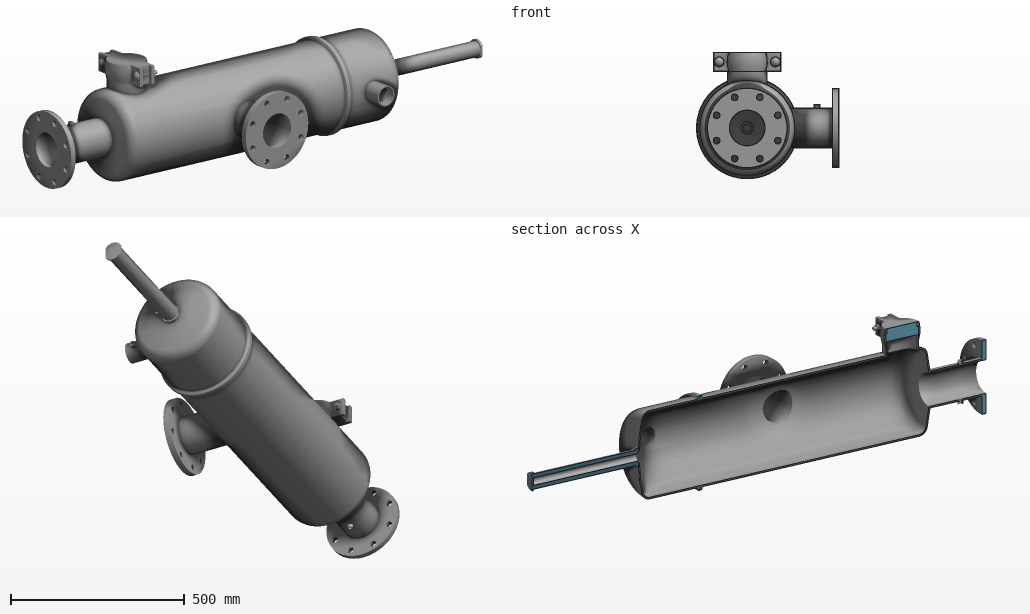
import cadquery as cq
import math

total_length = 1573.54
top_height = 217.45
branch_reach = 263.6

shell_radius = 273.0 / 2
wall = 6.0
shell_start = 232.5
shell_end = 1163.5
crown_radius = 500.0
knuckle_radius = 30.0

joint_y = 991.0
joint_rim_radius = 409.57 - branch_reach
joint_rim_half_width = 6.0
joint_root_half_width = 10.0

pipe_diameter = 114.3
pipe_bore = 102.3
flange_diameter = 228.6
bolt_circle = 190.5
bolt_hole = 19.0
bolt_count = 8
inlet_flange_thickness = 16.0
branch_flange_thickness = 18.5
branch_y = 634.5

socket_diameter = 17.0
socket_bore = 9.0
socket_height = 10.0
inlet_socket_y = 88.0
branch_socket_x = 200.0

drain_diameter = 60.3
drain_bore = 54.7
drain_y = 1085.0
drain_reach = 198.0
drain_socket_x = 168.0
drain_socket_height = 13.0

tube_diameter = 48.3
tube_bore = 22.0
drive_port = 36.0
plate_diameter = 57.0
tip_thickness = 8.0
foot_thickness = 10.0
tube_start = 1205.0
pin_diameter = 5.0
pin_y = 1234.0
pin_reach = 38.0

closure_y = 291.0
coupling_height = 55.0
coupling_end_diameter = 117.0
coupling_mid_diameter = 126.5
cap_face_diameter = 106.0
lip_height = 14.0
ear_reach = 97.0
pad_reach = 86.0
ear_half_depth = 26.0
pad_half_depth = 15.0
coupling_bottom = top_height - coupling_height
coupling_mid = top_height - coupling_height / 2
neck_top = coupling_bottom + lip_height

bolt_x = 81.0
shank_diameter = 12.0
head_diameter = 28.0
head_height = 9.0
nut_across_corners = 22.0
nut_height = 9.5
thread_end = 9.5


def rod(start, direction, length, diameter):
    """Solid cylinder from a start point along a direction."""
    return cq.Workplane(
        cq.Solid.makeCylinder(diameter / 2, length, cq.Vector(*start), cq.Vector(*direction))
    )


def head_sizes(outer_radius, crown, knuckle):
    """Depth of a dished head, then radius and depth of the crown-to-knuckle tangency."""
    knuckle_center = outer_radius - knuckle
    crown_offset = math.sqrt((crown - knuckle) ** 2 - knuckle_center ** 2)
    stretch = crown / (crown - knuckle)
    return crown - crown_offset, knuckle_center * stretch, crown_offset * (stretch - 1)


def domed_blank(inset, tangent_y, joint_end):
    """Solid drum from the joint to a dished head, offset inwards by the inset."""
    radius = shell_radius - inset
    crown = crown_radius - inset
    knuckle = knuckle_radius - inset
    outward = 1 if tangent_y > joint_end else -1
    depth, meet_radius, meet_depth = head_sizes(radius, crown, knuckle)
    knuckle_center = radius - knuckle
    meet_angle = math.atan2(meet_depth, meet_radius - knuckle_center)
    knuckle_mid = (
        knuckle_center + knuckle * math.cos(meet_angle / 2),
        tangent_y + outward * knuckle * math.sin(meet_angle / 2),
    )
    crown_angle = math.asin(meet_radius / crown) / 2
    crown_mid = (
        crown * math.sin(crown_angle),
        tangent_y + outward * (depth - crown * (1 - math.cos(crown_angle))),
    )
    return (
        cq.Workplane("XY")
        .moveTo(0, joint_end)
        .lineTo(radius, joint_end)
        .lineTo(radius, tangent_y)
        .threePointArc(knuckle_mid, (meet_radius, tangent_y + outward * meet_depth))
        .threePointArc(crown_mid, (0, tangent_y + outward * depth))
        .close()
        .revolve(360, (0, 0, 0), (0, 1, 0))
    )


def joint_flange(side):
    """Half of the bevelled rim at the body joint; side is -1 for vessel, +1 for cover."""
    return (
        cq.Workplane("XY")
        .moveTo(0, joint_y)
        .lineTo(joint_rim_radius, joint_y)
        .lineTo(joint_rim_radius, joint_y + side * joint_rim_half_width)
        .lineTo(shell_radius, joint_y + side * joint_root_half_width)
        .lineTo(0, joint_y + side * joint_root_half_width)
        .close()
        .revolve(360, (0, 0, 0), (0, 1, 0))
    )


def pipe_flange(face, inward, thickness):
    """Drilled flange disc; its bolt holes straddle the centre lines."""
    disc = rod(face, inward, thickness, flange_diameter)
    plane = cq.Plane(origin=face, xDir=(0, 0, 1), normal=inward)
    holes = (
        cq.Workplane(plane)
        .polarArray(bolt_circle / 2, 180 / bolt_count, 360, bolt_count)
        .circle(bolt_hole / 2)
        .extrude(thickness)
    )
    return disc.cut(holes)


def make_vessel():
    body = domed_blank(0, shell_start, joint_y).union(joint_flange(-1))
    body = body.union(rod((0, 0, 0), (0, 1, 0), shell_start, pipe_diameter))
    body = body.union(pipe_flange((0, 0, 0), (0, 1, 0), inlet_flange_thickness))
    branch_face = (branch_reach, branch_y, 0)
    body = body.union(rod((0, branch_y, 0), (1, 0, 0), branch_reach, pipe_diameter))
    body = body.union(pipe_flange(branch_face, (-1, 0, 0), branch_flange_thickness))
    body = body.union(rod((0, closure_y, 0), (0, 0, 1), neck_top, pipe_diameter))

    socket_length = pipe_diameter / 2 + socket_height
    sockets = [
        ((0, inlet_socket_y, 0), (0, 0, 1)),
        ((0, inlet_socket_y, 0), (0, 0, -1)),
        ((branch_socket_x, branch_y, 0), (0, 0, 1)),
    ]
    for start, direction in sockets:
        body = body.union(rod(start, direction, socket_length, socket_diameter))

    body = body.cut(domed_blank(wall, shell_start, joint_y))
    body = body.cut(rod((0, 0, 0), (0, 1, 0), shell_start, pipe_bore))
    body = body.cut(rod((0, branch_y, 0), (1, 0, 0), branch_reach, pipe_bore))
    body = body.cut(rod((0, closure_y, 0), (0, 0, 1), neck_top, pipe_bore))
    for start, direction in sockets:
        body = body.cut(rod(start, direction, socket_length, socket_bore))
    return body


def end_plate(start_y, thickness):
    """Round plate with two flats as wide as the drive tube."""
    disc = rod((0, start_y, 0), (0, 1, 0), thickness, plate_diameter)
    trim = cq.Workplane("XY").box(tube_diameter, thickness, plate_diameter)
    return disc.intersect(trim.translate((0, start_y + thickness / 2, 0)))


def make_cover():
    body = domed_blank(0, shell_end, joint_y).union(joint_flange(1))
    body = body.union(rod((0, drain_y, 0), (1, 0, 0), drain_reach, drain_diameter))
    socket_start = (drain_socket_x, drain_y, 0)
    socket_length = drain_diameter / 2 + drain_socket_height
    body = body.union(rod(socket_start, (0, 1, 0), socket_length, socket_diameter))

    body = body.cut(domed_blank(wall, shell_end, joint_y))
    body = body.cut(rod((0, drain_y, 0), (1, 0, 0), drain_reach, drain_bore))
    body = body.cut(rod(socket_start, (0, 1, 0), socket_length, socket_bore))
    body = body.cut(rod((0, shell_end, 0), (0, 1, 0), tube_start - shell_end, drive_port))
    return body.cut(end_plate(tube_start, foot_thickness))


def make_drive_tube():
    length = total_length - tube_start
    body = rod((0, tube_start, 0), (0, 1, 0), length, tube_diameter)
    body = body.union(end_plate(tube_start, foot_thickness))
    body = body.union(end_plate(total_length - tip_thickness, tip_thickness))
    body = body.union(rod((0, pin_y, 0), (1, 0, 0), pin_reach, pin_diameter))
    return body.cut(rod((0, tube_start, 0), (0, 1, 0), length - tip_thickness, tube_bore))


def make_cap():
    """Blind cap standing on the neck, stepped down where the coupling grips it."""
    skirt_height = top_height - neck_top - lip_height
    skirt = rod((0, closure_y, neck_top), (0, 0, 1), skirt_height, pipe_diameter)
    face = rod((0, closure_y, neck_top), (0, 0, 1), top_height - neck_top, cap_face_diameter)
    return skirt.union(face)


def coupling_slab(reach, half_depth):
    slab = cq.Workplane("XY").box(2 * reach, 2 * half_depth, coupling_height)
    return slab.translate((0, closure_y, coupling_mid))


def make_coupling_half(side, cap):
    """Half of the barrel-shaped coupling with its two bolting ears; side is the sign of Y."""
    barrel = (
        cq.Workplane("XZ", origin=(0, closure_y, 0))
        .moveTo(0, coupling_bottom)
        .lineTo(coupling_end_diameter / 2, coupling_bottom)
        .threePointArc(
            (coupling_mid_diameter / 2, coupling_mid),
            (coupling_end_diameter / 2, top_height),
        )
        .lineTo(0, top_height)
        .close()
        .revolve(360, (0, 0, 0), (0, 1, 0))
    )
    plates = coupling_slab(ear_reach, ear_half_depth).cut(coupling_slab(ear_reach, pad_half_depth))
    body = barrel.union(plates).union(coupling_slab(pad_reach, ear_half_depth))
    neck_hole = rod((0, closure_y, coupling_bottom), (0, 0, 1), lip_height, pipe_diameter)
    body = body.cut(neck_hole).cut(cap)
    for x in (-bolt_x, bolt_x):
        hole_start = (x, closure_y - ear_half_depth, coupling_mid)
        body = body.cut(rod(hole_start, (0, 1, 0), 2 * ear_half_depth, shank_diameter))
    half_space = cq.Workplane("XY").box(2 * ear_reach, ear_reach, coupling_height)
    return body.intersect(half_space.translate((0, closure_y + side * ear_reach / 2, coupling_mid)))


def make_bolt(x):
    """Round-headed bolt along Y with its head on the inlet side."""
    seat_y = closure_y - ear_half_depth
    length = 2 * ear_half_depth + nut_height + thread_end
    shank = rod((x, seat_y, coupling_mid), (0, 1, 0), length, shank_diameter)
    dome_radius = (head_diameter ** 2 / 4 + head_height ** 2) / (2 * head_height)
    dome_center = cq.Vector(x, seat_y - head_height + dome_radius, coupling_mid)
    dome = cq.Workplane(cq.Solid.makeSphere(dome_radius, angleDegrees1=-90).translate(dome_center))
    head = dome.intersect(rod((x, seat_y, coupling_mid), (0, -1, 0), head_height, head_diameter))
    return shank.union(head)


def make_nut(x):
    """Hexagon nut bearing on the far side of the ears."""
    seat_center = (x, closure_y + ear_half_depth, coupling_mid)
    seat = cq.Plane(origin=seat_center, xDir=(1, 0, 0), normal=(0, 1, 0))
    return (
        cq.Workplane(seat)
        .polygon(6, nut_across_corners)
        .circle(shank_diameter / 2)
        .extrude(nut_height)
    )


vessel = make_vessel()
cover = make_cover()
drive_tube = make_drive_tube()
cap = make_cap()
coupling_halves = [make_coupling_half(side, cap) for side in (-1, 1)]
bolts = [make_bolt(x) for x in (-bolt_x, bolt_x)]
nuts = [make_nut(x) for x in (-bolt_x, bolt_x)]

bodies = [vessel, cover, drive_tube, cap, *coupling_halves, *bolts, *nuts]
result = cq.Compound.makeCompound([body.val() for body in bodies])